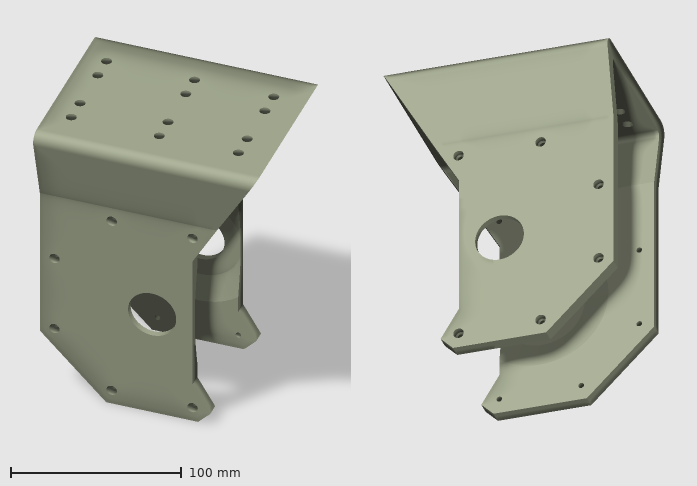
import cadquery as cq
import math

height = 190.0
top_length = 139.3

leg_half_width = 43.1
leg_thickness = 8.4
top_thickness = 9.9
bend_z = 140.6
flare_angle = math.radians(15)
outer_bend_radius = 6.0
inner_bend_radius = 3.0

neck_x = 95.2
neck_top_z = 114.4
neck_bottom_z = 26.0
corner_cut = 41.5
toe_x = 106.4
toe_chamfer = 7.6

bore_x = 70.1
bore_z = 70.3
bore_diameter = 30.0
seat_floor_radius = 26.0
seat_rim_radius = 42.0
seat_depth = 4.2
bolt_circle_radius = 66.0
bolt_count = 8
bolt_diameter = 3.5
bolt_head_diameter = 6.5
bolt_head_depth = 4.2

mount_diameter = 6.5
mount_xs = (14.8, 69.7, 119.1)
mount_inner_y = 15.0
mount_outer_y = 2 * mount_inner_y


def channel(half_width, bend_height, top_z, bend_radius):
    """Solid flared channel along X with rounded upper edges."""
    top_half_width = half_width + (top_z - bend_height) * math.tan(flare_angle)
    outline = [
        (-half_width, 0),
        (half_width, 0),
        (half_width, bend_height),
        (top_half_width, top_z),
        (-top_half_width, top_z),
        (-half_width, bend_height),
    ]
    body = cq.Workplane("YZ").polyline(outline).close().extrude(top_length)
    return body.faces(">Z").edges("|X").fillet(bend_radius)


def side_outline():
    """Side profile of the bracket, extruded across its full width."""
    depth = leg_half_width + height
    outline = [
        (0, height),
        (0, corner_cut),
        (corner_cut, 0),
        (toe_x - toe_chamfer, 0),
        (toe_x, toe_chamfer),
        (neck_x, neck_bottom_z),
        (neck_x, neck_top_z),
        (top_length, height),
    ]
    return cq.Workplane("XZ").polyline(outline).close().extrude(depth, both=True)


def cross_cylinder(x, z, diameter, half_length):
    """Cylinder along Y, centred on Y = 0."""
    return (
        cq.Workplane("XZ").center(x, z).circle(diameter / 2).extrude(half_length, both=True)
    )


def bearing_bore():
    """Through bore with a conical seat sunk into the inner face of each leg."""
    inner_face = leg_half_width - leg_thickness
    seat_floor = inner_face + seat_depth
    half_section = [
        (0, -seat_floor),
        (seat_floor_radius, -seat_floor),
        (seat_rim_radius, -inner_face),
        (seat_rim_radius, inner_face),
        (seat_floor_radius, seat_floor),
        (0, seat_floor),
    ]
    seats = (
        cq.Workplane("XY").polyline(half_section).close()
        .revolve(360, (0, 0), (0, 1)).translate((bore_x, 0, bore_z))
    )
    return seats.union(cross_cylinder(bore_x, bore_z, bore_diameter, leg_half_width))


def bolt_hole(x, z):
    """Hole through both legs, counterbored from each outer face."""
    head_floor = leg_half_width - bolt_head_depth
    heads = cross_cylinder(x, z, bolt_head_diameter, leg_half_width).cut(
        cross_cylinder(x, z, bolt_head_diameter, head_floor)
    )
    return heads.union(cross_cylinder(x, z, bolt_diameter, leg_half_width))


outer = channel(leg_half_width, bend_z, height, outer_bend_radius)
inner_half_width = leg_half_width - leg_thickness
inner = channel(inner_half_width, bend_z, height - top_thickness, inner_bend_radius)
bracket = outer.cut(inner).intersect(side_outline())

bracket = bracket.cut(bearing_bore())

bolt_pitch = 2 * math.pi / bolt_count
for index in range(bolt_count):
    angle = (index + 0.5) * bolt_pitch
    bolt_x = bore_x + bolt_circle_radius * math.cos(angle)
    bolt_z = bore_z + bolt_circle_radius * math.sin(angle)
    if bolt_x < neck_x + bolt_diameter:
        bracket = bracket.cut(bolt_hole(bolt_x, bolt_z))

mount_points = [
    (x, y)
    for x in mount_xs
    for y in (-mount_outer_y, -mount_inner_y, mount_inner_y, mount_outer_y)
]
mount_holes = (
    cq.Workplane("XY").workplane(offset=height - top_thickness)
    .pushPoints(mount_points).circle(mount_diameter / 2).extrude(top_thickness)
)

result = bracket.cut(mount_holes)